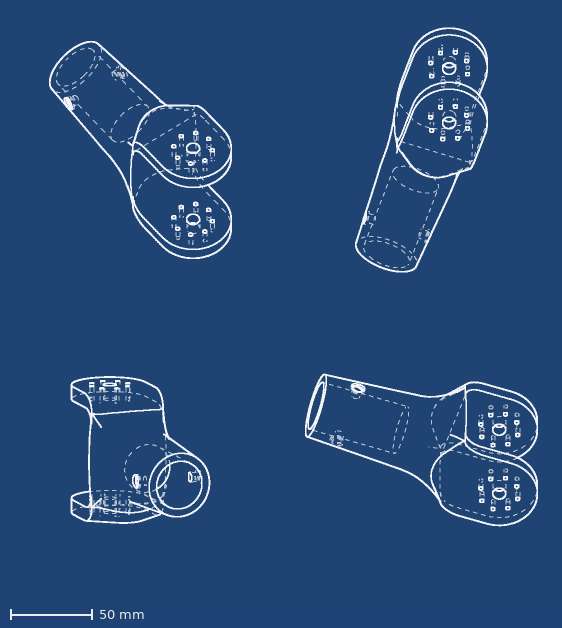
import cadquery as cq
import math

length = 142.5
height = 80.0
arm_thickness = 9.0
arm_width = 47
throat_x = 88.9
throat_radius = 10
pivot_x = length - arm_width / 2

socket_length = 55.0
mouth_radius = 20
root_radius = 23.1
bore_radius = 15.0
bore_depth = socket_length

shoulder_radius = 10
nose_radius = 20
nose_center_x = 95.5
nose_half_angle = math.radians(38)

pivot_hole_diameter = 8.0
bolt_hole_diameter = 2.4
bolt_circle_radius = 12.0
bolt_count = 8
cross_hole_x = 20.2
cross_hole_diameter = 5.7
cross_recess_diameter = 8.3
cross_recess_floor_y = 19.4

root_corner = root_radius * math.sqrt(0.5)
neck_sections = [
    (socket_length, root_radius, root_radius, root_corner, root_corner),
    (65.5, 25.4, 23.2, 17.5, 17.0),
    (75.5, 31.6, 23.8, 19.4, 20),
    (throat_x, 36.3, 25.4, arm_width / 2, height / 2 - shoulder_radius),
]


def make_socket():
    profile = [(0, 0), (0, mouth_radius), (socket_length, root_radius), (socket_length, 0)]
    return cq.Workplane("XY").polyline(profile).close().revolve(360, (0, 0, 0), (1, 0, 0))


def neck_section(x, half_height, half_width, corner_y, corner_z):
    """Closed section of four arcs, bulging beyond the four corners."""
    outline = (
        cq.Workplane("YZ", origin=(x, 0, 0))
        .moveTo(corner_y, -corner_z)
        .threePointArc((half_width, 0), (corner_y, corner_z))
        .threePointArc((0, half_height), (-corner_y, corner_z))
        .threePointArc((-half_width, 0), (-corner_y, -corner_z))
        .threePointArc((0, -half_height), (corner_y, -corner_z))
        .close()
    )
    return outline.wire().val()


def make_neck():
    wires = [neck_section(*section) for section in neck_sections]
    return cq.Workplane(obj=cq.Solid.makeLoft(wires))


def make_fork_block():
    """Full-height nosed block, rolled over at top and bottom and trimmed to the arm outline."""
    tangent_x = nose_center_x - nose_radius * math.cos(nose_half_angle)
    tangent_y = nose_radius * math.sin(nose_half_angle)
    flank_y = arm_width
    flank_x = tangent_x + (flank_y - tangent_y) * math.tan(nose_half_angle)
    back_x = 2 * length
    nosed = (
        cq.Workplane("XY", origin=(0, 0, -height / 2))
        .moveTo(back_x, -flank_y)
        .lineTo(flank_x, -flank_y)
        .lineTo(tangent_x, -tangent_y)
        .threePointArc((nose_center_x - nose_radius, 0), (tangent_x, tangent_y))
        .lineTo(flank_x, flank_y)
        .lineTo(back_x, flank_y)
        .close()
        .extrude(height)
    )
    nose_box = cq.selectors.BoxSelector((0, -flank_y + 1.4, -height), (flank_x, flank_y - 1.4, height))
    nosed = nosed.faces("|Z").edges(nose_box).fillet(shoulder_radius)
    arm_outline = (
        cq.Workplane("XY", origin=(0, 0, -height / 2))
        .moveTo(0, -arm_width / 2)
        .lineTo(pivot_x, -arm_width / 2)
        .threePointArc((length, 0), (pivot_x, arm_width / 2))
        .lineTo(0, arm_width / 2)
        .close()
        .extrude(height)
    )
    return nosed.intersect(arm_outline)


def make_throat():
    return (
        cq.Workplane("XY")
        .box(length, 2 * arm_width, height - 2 * arm_thickness, centered=(False, True, True))
        .edges("|Y and <X")
        .fillet(throat_radius)
        .translate((throat_x, 0, 0))
    )


def make_arm_holes():
    holes = cq.Workplane("XY", origin=(pivot_x, 0, -height / 2))
    pivot = holes.circle(pivot_hole_diameter / 2).extrude(height)
    bolts = (
        holes.polarArray(bolt_circle_radius, 0, 360, bolt_count)
        .circle(bolt_hole_diameter / 2)
        .extrude(height)
    )
    return pivot.union(bolts)


def make_cross_hole():
    """Hole through both socket walls with a shallow recess at each mouth."""
    center = cq.Workplane("XZ", origin=(cross_hole_x, 0, 0))
    hole = center.circle(cross_hole_diameter / 2).extrude(root_radius, both=True)
    for side in (-1, 1):
        recess = (
            center.workplane(offset=side * cross_recess_floor_y)
            .circle(cross_recess_diameter / 2)
            .extrude(side * root_radius)
        )
        hole = hole.union(recess)
    return hole


bore = cq.Workplane("YZ").circle(bore_radius).extrude(bore_depth)

result = (
    make_socket()
    .union(make_neck())
    .union(make_fork_block())
    .cut(make_throat())
    .cut(bore)
    .cut(make_arm_holes())
    .cut(make_cross_hole())
)